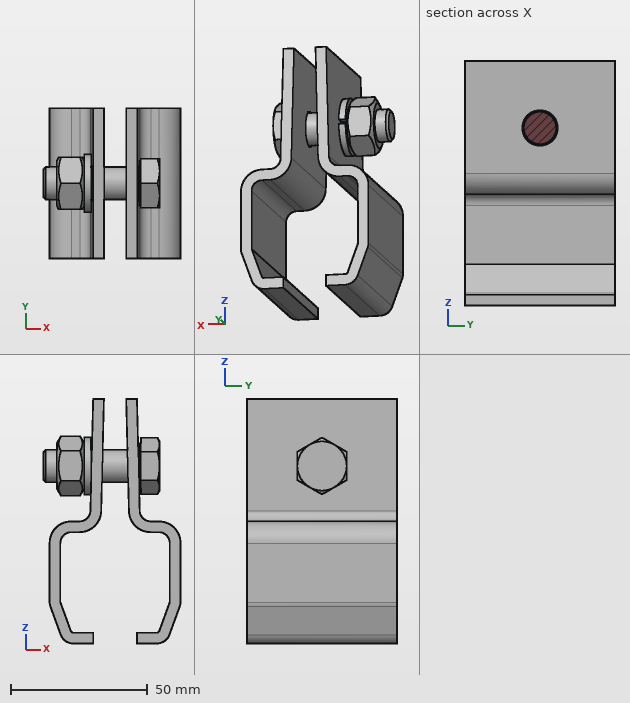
import cadquery as cq
import math

clamp_height = 89.5
clamp_length = 55.0
clamp_half_width = 24.0
plate = 4.0
mouth_half_gap = 8.0
top_half_gap = 4.0
lip_bend_radius = 5.0
shoulder_radius = 8.0
leg_slope = 20.0
plate_lean = 1.4
knee_z = 15.1
shoulder_z = 44.75

axis_z = 65.0
seat_x = 8.8
bolt_diameter = 12.0
bolt_length = 35.0
tip_diameter = 10.1
plate_hole_diameter = 13.0
head_flats = 18.0
head_height = 7.5
collar_diameter = 16.65
collar_height = 0.6
nut_flats = 19.0
nut_height = 10.0
nut_face_diameter = 16.65
hex_chamfer_angle = 30.0
washer_diameter = 21.1
washer_thickness = 2.5
washer_slit = 1.6

washer_x = -seat_x - washer_thickness
nut_x = washer_x - nut_height
tip_x = seat_x - bolt_length


def rod(diameter, start_x, length):
    """Cylinder on the bolt axis, running in +X from start_x."""
    section = cq.Workplane("YZ", origin=(start_x, 0, axis_z)).circle(diameter / 2)
    return section.extrude(length)


def hexagon(flats, start_x, length):
    """Hexagonal prism on the bolt axis with corners up and down."""
    corner_diameter = flats / math.cos(math.radians(30))
    section = cq.Workplane("YZ", origin=(start_x, 0, axis_z)).transformed(rotate=(0, 0, 90))
    return section.polygon(6, corner_diameter).extrude(length)


def chamfer_envelope(flats, face_diameter, start_x, length, both_ends):
    """Turned blank whose conical ends trim the corners of a hexagon."""
    corner_radius = flats / 2 / math.cos(math.radians(30))
    face_radius = face_diameter / 2
    depth = (corner_radius - face_radius) * math.tan(math.radians(hex_chamfer_angle))
    end_x = start_x + length
    points = [(start_x, 0)]
    if both_ends:
        points += [(start_x, face_radius), (start_x + depth, corner_radius)]
    else:
        points += [(start_x, corner_radius)]
    points += [(end_x - depth, corner_radius), (end_x, face_radius), (end_x, 0)]
    profile = cq.Workplane("XY", origin=(0, 0, axis_z)).polyline(points).close()
    return profile.revolve(360, (0, 0), (1, 0))


def polar(center, radius, angle):
    """Point on a circle, angle in degrees from +X towards +Z."""
    turn = math.radians(angle)
    return (center[0] + radius * math.cos(turn), center[1] + radius * math.sin(turn))


def bend(outline, center, radius, start, end):
    """Draw a line to the start of a bend, then the arc round it."""
    outline = outline.lineTo(*polar(center, radius, start))
    return outline.threePointArc(
        polar(center, radius, (start + end) / 2), polar(center, radius, end)
    )


def clamp_blank():
    """Bent strip on the +X side, before its holes are cut."""
    slope = math.radians(leg_slope)
    lean = math.radians(plate_lean)
    inner_shoulder = shoulder_radius - plate
    top_outer_x = top_half_gap + plate

    knee = (clamp_half_width - plate, knee_z)
    lip_z = lip_bend_radius
    lip_x = (
        knee[0]
        + (plate - lip_bend_radius) / math.cos(slope)
        - (knee_z - lip_z) * math.tan(slope)
    )
    lip = (lip_x, lip_z)
    shoulder = (clamp_half_width - shoulder_radius, shoulder_z - shoulder_radius)
    neck_z = shoulder_z + inner_shoulder
    neck_x = (
        top_outer_x
        + (clamp_height - neck_z) * math.tan(lean)
        + inner_shoulder / math.cos(lean)
    )
    neck = (neck_x, neck_z)
    inner_top_x = top_outer_x - plate / math.cos(lean)

    outline = cq.Workplane("XZ").moveTo(mouth_half_gap, 0)
    outline = bend(outline, lip, lip_bend_radius, -90, -leg_slope)
    outline = bend(outline, knee, plate, -leg_slope, 0)
    outline = bend(outline, shoulder, shoulder_radius, 0, 90)
    outline = bend(outline, neck, inner_shoulder, 270, 180 + plate_lean)
    outline = outline.lineTo(top_outer_x, clamp_height)

    outline = outline.lineTo(inner_top_x, clamp_height)
    outline = bend(outline, neck, shoulder_radius, 180 + plate_lean, 270)
    outline = bend(outline, shoulder, inner_shoulder, 90, 0)
    outline = outline.lineTo(*knee)
    outline = bend(outline, lip, lip_bend_radius - plate, -leg_slope, -90)
    outline = outline.lineTo(mouth_half_gap, plate).close()
    return outline.extrude(clamp_length / 2, both=True)


def make_clamp_half(side):
    """Clamp half on the +X (side 1) or -X (side -1) side, with hole and seat."""
    half = clamp_blank()
    if side < 0:
        half = half.mirror("YZ")
    hole = rod(plate_hole_diameter, 0, side * clamp_half_width)
    seat_diameter = collar_diameter if side > 0 else washer_diameter
    seat = rod(seat_diameter, side * seat_x, side * washer_thickness)
    return half.cut(hole).cut(seat)


def make_bolt():
    """Hexagon-head bolt with a bearing collar and a chamfered tip."""
    hex_x = seat_x + collar_height
    hex_height = head_height - collar_height
    head = hexagon(head_flats, hex_x, hex_height)
    head = head.intersect(chamfer_envelope(head_flats, head_flats, hex_x, hex_height, False))
    collar = rod(collar_diameter, seat_x, collar_height)
    tip_chamfer = (bolt_diameter - tip_diameter) / 2
    shank = rod(bolt_diameter, tip_x, bolt_length).faces("<X").chamfer(tip_chamfer)
    return shank.union(collar).union(head)


def make_nut():
    """Hexagon nut chamfered on both ends, bored to fit the bolt."""
    nut = hexagon(nut_flats, nut_x, nut_height)
    nut = nut.intersect(chamfer_envelope(nut_flats, nut_face_diameter, nut_x, nut_height, True))
    return nut.cut(rod(bolt_diameter, nut_x, nut_height))


def make_washer():
    """Spring washer, split on its +Y side."""
    ring = rod(washer_diameter, washer_x, washer_thickness)
    ring = ring.cut(rod(bolt_diameter, washer_x, washer_thickness))
    slit = cq.Workplane("XY", origin=(washer_x, 0, axis_z)).box(
        washer_thickness, washer_diameter, washer_slit, centered=(False, False, True)
    )
    return ring.cut(slit)


clamp_halves = [make_clamp_half(side) for side in (-1, 1)]
bolt = make_bolt()
nut = make_nut()
washer = make_washer()

result = cq.Compound.makeCompound(
    [*[half.val() for half in clamp_halves], bolt.val(), nut.val(), washer.val()]
)